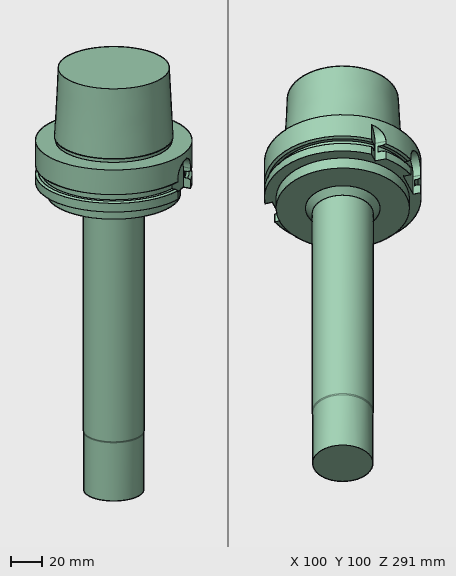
import cadquery as cq


TAPER_TOP_Z = 50.0
TAPER_BASE_Z = 2.5
TAPER_BASE_DIAMETER = 75.75
TAPER_RATIO = 0.1
TAPER_TOP_DIAMETER = TAPER_BASE_DIAMETER - TAPER_RATIO * (TAPER_TOP_Z - TAPER_BASE_Z)
NECK_DIAMETER = 74.5

FLANGE_DIAMETER = 100.0
FLANGE_BOTTOM_Z = -29.0
GROOVE_DIAMETER = 92.0
GROOVE_TOP_Z = -17.0
GROOVE_BOTTOM_Z = -23.0
GROOVE_BEVEL_WIDTH = 1.9
GROOVE_BEVEL_HEIGHT = 0.8

COLLAR_DIAMETER = 85.0
COLLAR_BOTTOM_Z = -37.0
CONE_HEIGHT = 4.3
BAR_DIAMETER = 39.0
CONE_TOP_DIAMETER = BAR_DIAMETER + 2 * CONE_HEIGHT
CONE_BOTTOM_Z = COLLAR_BOTTOM_Z - CONE_HEIGHT
BAR_STEP_Z = -200.0
BAR_STEP_HEIGHT = 0.8
TIP_DIAMETER = 38.5
TIP_END_Z = -241.0

SLOT_WIDTH = 20.0
SLOT_TOP_Z = -5.0
DRIVE_SLOT_FLOOR = 44.0
NOTCH_FLOOR = 32.0
NOTCH_CENTER_Y = 41.0


def turned_body():
    """Full turned shape, from the taper top down to the tip."""
    flange_radius = FLANGE_DIAMETER / 2
    groove_radius = GROOVE_DIAMETER / 2
    bevel_radius = flange_radius - GROOVE_BEVEL_WIDTH
    bar_radius = BAR_DIAMETER / 2
    tip_radius = TIP_DIAMETER / 2
    profile = [
        (0, TAPER_TOP_Z),
        (TAPER_TOP_DIAMETER / 2, TAPER_TOP_Z),
        (TAPER_BASE_DIAMETER / 2, TAPER_BASE_Z),
        (NECK_DIAMETER / 2, TAPER_BASE_Z),
        (NECK_DIAMETER / 2, 0),
        (flange_radius, 0),
        (flange_radius, GROOVE_TOP_Z),
        (bevel_radius, GROOVE_TOP_Z - GROOVE_BEVEL_HEIGHT),
        (groove_radius, GROOVE_TOP_Z - GROOVE_BEVEL_HEIGHT),
        (groove_radius, GROOVE_BOTTOM_Z + GROOVE_BEVEL_HEIGHT),
        (bevel_radius, GROOVE_BOTTOM_Z + GROOVE_BEVEL_HEIGHT),
        (flange_radius, GROOVE_BOTTOM_Z),
        (flange_radius, FLANGE_BOTTOM_Z),
        (COLLAR_DIAMETER / 2, FLANGE_BOTTOM_Z),
        (COLLAR_DIAMETER / 2, COLLAR_BOTTOM_Z),
        (CONE_TOP_DIAMETER / 2, COLLAR_BOTTOM_Z),
        (bar_radius, CONE_BOTTOM_Z),
        (bar_radius, BAR_STEP_Z),
        (tip_radius, BAR_STEP_Z - BAR_STEP_HEIGHT),
        (tip_radius, TIP_END_Z),
        (0, TIP_END_Z),
    ]
    return cq.Workplane("XZ").polyline(profile).close().revolve(360, (0, 0, 0), (0, 1, 0))


def rim_slot(floor_distance, center_y):
    """Cutter for a slot in the -X side of the rim, with a flat floor facing -X."""
    left_y = center_y - SLOT_WIDTH / 2
    right_y = center_y + SLOT_WIDTH / 2
    arch_center_z = SLOT_TOP_Z - SLOT_WIDTH / 2
    return (
        cq.Workplane("YZ", origin=(-floor_distance, 0, 0))
        .moveTo(left_y, FLANGE_BOTTOM_Z)
        .lineTo(left_y, arch_center_z)
        .threePointArc((center_y, SLOT_TOP_Z), (right_y, arch_center_z))
        .lineTo(right_y, FLANGE_BOTTOM_Z)
        .close()
        .extrude(floor_distance - FLANGE_DIAMETER / 2)
    )


drive_slot = rim_slot(DRIVE_SLOT_FLOOR, 0)
opposite_drive_slot = drive_slot.mirror("YZ")
side_notch = rim_slot(NOTCH_FLOOR, NOTCH_CENTER_Y)

result = turned_body().cut(drive_slot).cut(opposite_drive_slot).cut(side_notch)